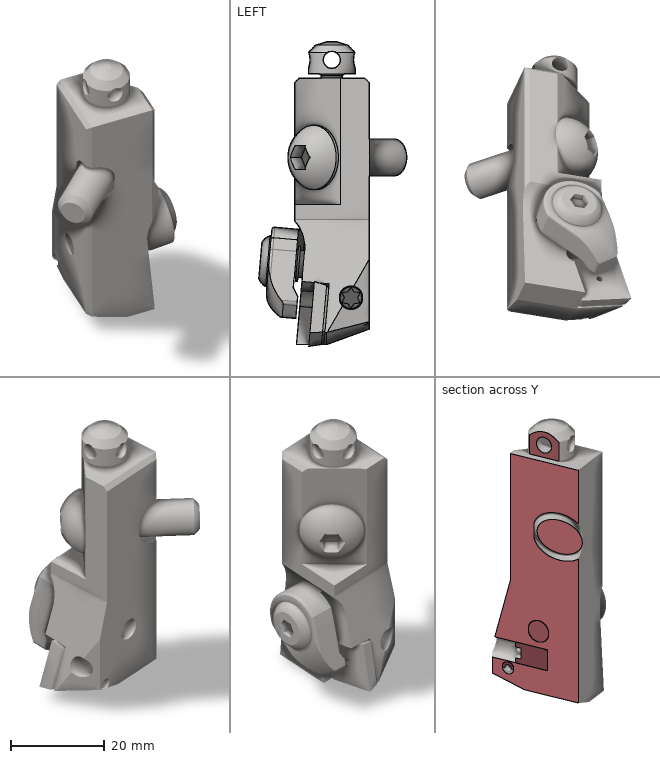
import cadquery as cq
import math


width = 17.0
thickness = 16.05
height = 57.3
edge_chamfer = 1.0
beyond = 39.3
overshoot = 3.3

lead_angle = 15.0
taper_start = 26.95
nose_end_x = 3.3
relief_depth = 9.2
end_relief_angle = 20.0
side_relief_angle = 25.0
side_relief_x = -2.3

seat_tilt = 5.0
clamp_axis_x = 7.0
clamp_axis_z = 16.05
insert_axis_x = -0.5
insert_axis_z = 5.6

insert_side = 11.5
insert_thickness = 3.2
insert_top = 11.55
insert_clearance = 11.0
insert_land = 0.5
insert_bevel = 0.45
insert_bottom = insert_top - insert_thickness
pin_diameter = 2.7
pin_bore = 1.45
pin_start = 3.75
corner_relief_radius = 2.1
corner_relief_inset = 0.85

scoop_floor = 14.2
scoop_radius = 8.4
scoop_arc_start = 19.0

clamp_turn = 37.0
clamp_bottom = 15.9
clamp_top = 21.6
clamp_foot_bottom = 14.8
clamp_tip = -12.9
clamp_tip_half_width = 2.75
clamp_tip_corner = 0.8
shoulder = -1.7
shoulder_half_width = 6.6
heel_radius = 7.4
heel_corner = 0.85
heel_pad_start = 4.6
heel_pad_bottom = 14.4
clamp_crown_start = -4.1
clamp_crown_radius = 11.9
foot_inner = -9.45
foot_outer = -11.3
clamp_rim = 0.6

clamp_screw_diameter = 4.9
clamp_screw_end = 3.9
clamp_head_radius = 5.5
clamp_head_rim = 0.25
clamp_head_top_radius = 3.85
clamp_head_height = 1.9
clamp_head_bulge = 0.165
clamp_socket = 3.6
clamp_socket_depth = 1.65
collar_radius = 2.95
flange_radius = 3.8
flange_bottom = 15.15
flange_thickness = 0.45

facet_front = 6.15
facet_bottom = 30.15
button_z = 40.25
button_x = 5.4
button_y = button_x + facet_front
button_diameter = 8.0
button_length = 25.0
button_end_chamfer = 1.25
button_head_radius = 6.95
button_dome_radius = 7.55
button_head_rim = 0.7
button_socket = 5.1
button_socket_depth = 3.9
slot_width = 9.0
slot_height = 11.0

adjuster_x = 8.4
adjuster_y = 8.05
adjuster_radius = 5.05
adjuster_thread_radius = 2.3
adjuster_thread_depth = 7.85
adjuster_neck_radius = 2.7
neck_height = 0.4
head_bottom = 58.2
cone_bottom = 62.8
cone_top = 64.35
cone_top_radius = 3.55
tip_radius = 1.05
adjuster_top = 65.15
cross_hole = 3.6
cross_hole_z = 61.2

set_screw_y = 3.9
set_screw_z = 10.1
set_screw_diameter = 5.05
set_screw_start = 1.3
set_screw_length = 7.85
set_screw_chamfer = 0.2
star_outer = 2.2
star_inner = 1.45
star_depth = 1.3
star_points = 6

lead_slope = math.tan(math.radians(lead_angle))
hex_corner_ratio = 1 / math.cos(math.pi / 6)


def tilt(shape):
    """Tip a shape whose axis is Y into the frame of the insert seat and clamp."""
    return shape.rotate((0, 0, clamp_axis_z), (1, 0, clamp_axis_z), seat_tilt)


def seat(shape):
    """Move a shape drawn about the insert axis onto the insert seat: turn, shift and tilt it."""
    turned = shape.rotate((0, 0, 0), (0, 1, 0), lead_angle)
    return tilt(turned.translate((insert_axis_x, 0, insert_axis_z)))


def y_cylinder(diameter, start, end, x=0, z=0):
    plane = cq.Plane(origin=(x, start, z), xDir=(1, 0, 0), normal=(0, 1, 0))
    return cq.Workplane(plane).circle(diameter / 2).extrude(end - start)


def y_prism(side_x, side_z, start, end, x=0, z=0):
    box = cq.Workplane("XY").box(side_x, end - start, side_z)
    return box.translate((x, (start + end) / 2, z))


def across(profile):
    """Extrude a closed (Y, Z) profile both ways along X, past every side."""
    return profile.extrude(beyond, both=True)


def on_clamp_axis(shape):
    """Move a shape drawn about the Y axis onto the tilted clamp screw axis."""
    return tilt(shape.translate((clamp_axis_x, 0, clamp_axis_z)))


def holder_blank():
    tip_x = (nose_end_x * lead_slope**2 - taper_start * lead_slope) / (1 + lead_slope**2)
    tip_z = (nose_end_x - tip_x) * lead_slope
    outline = [(0, height), (width, height), (width, 0), (nose_end_x, 0), (tip_x, tip_z), (0, taper_start)]
    blank = cq.Workplane("XZ").polyline(outline).close().extrude(-thickness)
    return (
        blank.faces(">Z").edges("|X").chamfer(edge_chamfer)
        .faces(">X").edges("|Z and <Y").chamfer(edge_chamfer)
    )


def end_relief():
    rise = (relief_depth + overshoot) * math.tan(math.radians(end_relief_angle))
    profile = [(-overshoot, rise), (relief_depth, 0), (relief_depth, -beyond), (-overshoot, -beyond)]
    return across(cq.Workplane("YZ").polyline(profile).close())


def nose_relief():
    return end_relief().rotate((nose_end_x, 0, 0), (nose_end_x, 1, 0), lead_angle)


def side_relief():
    reach = beyond * math.tan(math.radians(side_relief_angle))
    outline = [
        (side_relief_x + reach, -beyond),
        (side_relief_x - reach, beyond),
        (side_relief_x - 2 * reach, beyond),
        (side_relief_x - 2 * reach, -beyond),
    ]
    return cq.Workplane("XY").polyline(outline).close().extrude(taper_start)


def scoop():
    arc_centre = scoop_floor + scoop_radius
    channel = cq.Workplane("YZ").center(arc_centre, scoop_arc_start).circle(scoop_radius)
    corner = (scoop_floor, scoop_arc_start)
    open_side = cq.Workplane("YZ").moveTo(*corner).lineTo(scoop_floor, -beyond).lineTo(beyond, -beyond)
    return tilt(across(channel).union(across(open_side.lineTo(beyond, scoop_arc_start).close())))


def insert_pocket():
    half = insert_side / 2
    centre = half - beyond / 2
    pocket = y_prism(beyond, beyond, insert_bottom, beyond, centre, centre)
    relief_at = half - corner_relief_inset
    relief = y_cylinder(2 * corner_relief_radius, insert_bottom, beyond, relief_at, relief_at)
    return seat(pocket.union(relief))


def button_facet():
    run = thickness - facet_front
    triangle = [(0, facet_front), (run, thickness), (0, thickness)]
    return cq.Workplane("XY").workplane(offset=facet_bottom).polyline(triangle).close().extrude(beyond)


def button_plane():
    return cq.Plane(origin=(button_x, button_y, button_z), xDir=(0, 0, 1), normal=(-1, 1, 0))


def button_slot():
    return cq.Workplane(button_plane()).slot2D(slot_height, slot_width).extrude(-beyond)


def set_screw_hole():
    plane = cq.Plane(origin=(set_screw_start + set_screw_length, set_screw_y, set_screw_z), normal=(-1, 0, 0))
    return cq.Workplane(plane).circle(set_screw_diameter / 2).extrude(beyond)


def adjuster_hole():
    plane = cq.Workplane("XY", origin=(adjuster_x, adjuster_y, height))
    return plane.circle(adjuster_thread_radius).extrude(-adjuster_thread_depth)


def make_holder():
    body = holder_blank().cut(end_relief()).cut(nose_relief()).cut(side_relief()).cut(scoop())
    body = body.faces(">X").edges("|Z and >Y").chamfer(edge_chamfer)
    body = body.cut(insert_pocket()).cut(button_facet()).cut(button_slot())
    body = body.cut(set_screw_hole()).cut(adjuster_hole())
    body = body.cut(tilt(y_cylinder(clamp_screw_diameter, -overshoot, beyond, clamp_axis_x, clamp_axis_z)))
    return body.cut(seat(y_cylinder(pin_diameter, -overshoot, beyond)))


def make_insert():
    plane = cq.Plane(origin=(0, insert_top, 0), xDir=(1, 0, 0), normal=(0, -1, 0))
    flank = insert_thickness - insert_land
    lower_side = insert_side - 2 * flank * math.tan(math.radians(insert_clearance))
    bottom_side = lower_side - 2 * insert_bevel
    upper = (
        cq.Workplane(plane).rect(insert_side, insert_side)
        .workplane(offset=flank).rect(lower_side, lower_side).loft(ruled=True)
    )
    lower = (
        cq.Workplane(plane).workplane(offset=flank).rect(lower_side, lower_side)
        .workplane(offset=insert_land).rect(bottom_side, bottom_side).loft(ruled=True)
    )
    return seat(upper.union(lower).cut(y_cylinder(pin_diameter, 0, beyond)))


def make_pin():
    sleeve = y_cylinder(pin_diameter, pin_start, insert_top)
    return seat(sleeve.cut(y_cylinder(pin_bore, pin_start, insert_top)))


def clamp_plan():
    plane = cq.Plane(origin=(0, heel_pad_bottom, 0), xDir=(-1, 0, 0), normal=(0, 1, 0))
    heel_half_width = math.sqrt(heel_radius**2 - heel_corner**2)
    return (
        cq.Workplane(plane).moveTo(clamp_tip_half_width, clamp_tip).lineTo(shoulder_half_width, shoulder)
        .lineTo(heel_half_width, heel_corner)
        .threePointArc((0, heel_radius), (-heel_half_width, heel_corner))
        .lineTo(-shoulder_half_width, shoulder).lineTo(-clamp_tip_half_width, clamp_tip).close()
        .extrude(clamp_top - heel_pad_bottom)
        .edges("|Y and <Z").fillet(clamp_tip_corner)
    )


def round_heel_rim(body):
    above_shoulder = cq.selectors.BoxSelector((-beyond, 0, shoulder), (beyond, beyond, beyond))
    return body.faces(">Y").edges(above_shoulder).fillet(clamp_rim)


def clamp_side():
    """Side profile: flat over the screw, curving down to the foot, with a pad under the heel."""

    def crown(z):
        run = clamp_crown_start - z
        return clamp_top - clamp_crown_radius + math.sqrt(clamp_crown_radius**2 - run**2)

    middle = (clamp_crown_start + clamp_tip) / 2
    return across(
        cq.Workplane("YZ").moveTo(heel_pad_bottom, heel_radius).lineTo(clamp_top, heel_radius)
        .lineTo(clamp_top, clamp_crown_start)
        .threePointArc((crown(middle), middle), (crown(clamp_tip), clamp_tip))
        .lineTo(clamp_foot_bottom, clamp_tip).lineTo(clamp_foot_bottom, foot_outer)
        .lineTo(clamp_bottom, foot_inner).lineTo(clamp_bottom, heel_pad_start)
        .lineTo(heel_pad_bottom, heel_pad_start).close()
    )


def make_clamp():
    body = round_heel_rim(clamp_plan()).intersect(clamp_side())
    body = body.cut(y_cylinder(clamp_screw_diameter, 0, beyond))
    placed = on_clamp_axis(body.rotate((0, 0, 0), (0, 1, 0), clamp_turn))
    return placed.intersect(scoop())


def hex_socket(plane, across_flats, depth):
    return cq.Workplane(plane).polygon(6, across_flats * hex_corner_ratio).extrude(-depth)


def make_clamp_screw():
    top = clamp_top + clamp_head_height
    rim = clamp_top + clamp_head_rim
    shank_radius = clamp_screw_diameter / 2
    bulge_at = (
        (clamp_head_radius + clamp_head_top_radius) / 2 + clamp_head_bulge,
        (rim + top) / 2 + clamp_head_bulge,
    )
    body = (
        cq.Workplane("XY").moveTo(0, clamp_screw_end).lineTo(shank_radius, clamp_screw_end)
        .lineTo(shank_radius, clamp_top).lineTo(clamp_head_radius, clamp_top).lineTo(clamp_head_radius, rim)
        .threePointArc(bulge_at, (clamp_head_top_radius, top)).lineTo(0, top).close()
        .revolve(360, (0, 0, 0), (0, 1, 0))
    )
    socket_plane = cq.Plane(origin=(0, top, 0), xDir=(1, 0, 0), normal=(0, 1, 0))
    body = body.cut(hex_socket(socket_plane, clamp_socket, clamp_socket_depth))
    return on_clamp_axis(body)


def make_washer():
    collar = y_cylinder(2 * collar_radius, scoop_floor, clamp_bottom)
    flange = y_cylinder(2 * flange_radius, flange_bottom, flange_bottom + flange_thickness)
    ring = collar.union(flange).cut(y_cylinder(clamp_screw_diameter, scoop_floor, clamp_bottom))
    return on_clamp_axis(ring)


def make_button_screw():
    shank_radius = button_diameter / 2
    end_radius = shank_radius - button_end_chamfer
    rim = button_head_rim
    dome_centre = rim - math.sqrt(button_dome_radius**2 - button_head_radius**2)
    dome_top = dome_centre + button_dome_radius
    half_up = button_dome_radius * math.sqrt(0.5)
    plane = button_plane()
    axial = cq.Plane(origin=plane.origin, xDir=plane.xDir, normal=plane.xDir.cross(plane.zDir))
    body = (
        cq.Workplane(axial).moveTo(0, -button_length).lineTo(end_radius, -button_length)
        .lineTo(shank_radius, button_end_chamfer - button_length).lineTo(shank_radius, 0)
        .lineTo(button_head_radius, 0).lineTo(button_head_radius, rim)
        .threePointArc((half_up, dome_centre + half_up), (0, dome_top)).close()
        .revolve(360, (0, 0, 0), (0, 1, 0))
    )
    socket_plane = cq.Plane(origin=plane.toWorldCoords((0, 0, dome_top)), xDir=(1, 1, 0), normal=plane.zDir)
    return body.cut(hex_socket(socket_plane, button_socket, button_socket_depth))


def make_adjuster():
    neck = head_bottom - neck_height
    profile = [
        (0, height - adjuster_thread_depth),
        (adjuster_thread_radius, height - adjuster_thread_depth),
        (adjuster_thread_radius, neck),
        (adjuster_neck_radius, head_bottom),
        (adjuster_radius, head_bottom),
        (adjuster_radius, cone_bottom),
        (cone_top_radius, cone_top),
        (tip_radius, adjuster_top),
        (0, adjuster_top),
    ]
    body = cq.Workplane("XZ").polyline(profile).close().revolve(360, (0, 0, 0), (0, 1, 0))
    for plane_name in ("XZ", "YZ"):
        hole = cq.Workplane(plane_name).center(0, cross_hole_z).circle(cross_hole / 2)
        body = body.cut(hole.extrude(2 * adjuster_radius, both=True))
    return body.translate((adjuster_x, adjuster_y, 0))


def make_set_screw():
    plane = cq.Plane(origin=(set_screw_start, set_screw_y, set_screw_z), xDir=(0, 0, 1), normal=(-1, 0, 0))
    body = cq.Workplane(plane).circle(set_screw_diameter / 2).extrude(-set_screw_length)
    body = body.faces("<X").edges().chamfer(set_screw_chamfer)
    star = []
    for i in range(2 * star_points):
        radius = star_inner if i % 2 else star_outer
        angle = i * math.pi / star_points
        star.append((radius * math.cos(angle), radius * math.sin(angle)))
    return body.cut(cq.Workplane(plane).polyline(star).close().extrude(-star_depth))


holder = make_holder()
insert = make_insert()
insert_pin = make_pin()
clamp = make_clamp()
clamp_screw = make_clamp_screw()
spring_washer = make_washer()
button_screw = make_button_screw()
adjusting_screw = make_adjuster()
set_screw = make_set_screw()

bodies = [
    holder,
    insert,
    insert_pin,
    clamp,
    clamp_screw,
    spring_washer,
    button_screw,
    adjusting_screw,
    set_screw,
]
result = cq.Compound.makeCompound([body.solids().val() for body in bodies])